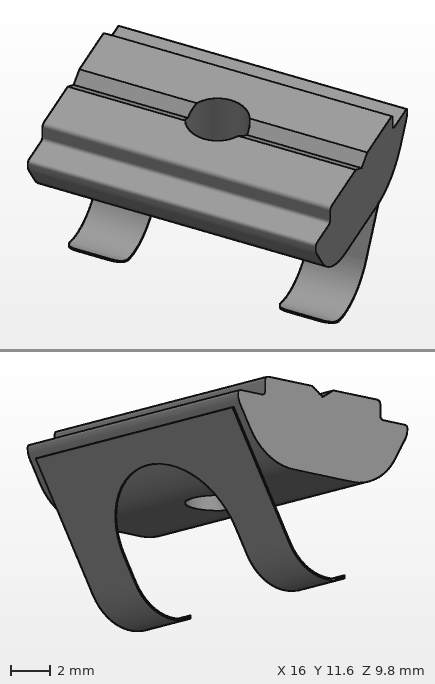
import cadquery as cq
import math

length = 16.0
width = 11.6
body_height = 4.58
neck_width = 7.9
step_height = 1.0
neck_top_radius = 0.24
neck_root_radius = 0.2
lip_radius = 0.2
lip_wall = 0.5
flank_radius = 1.12
bottom_radius = 3.42
flank_angle = math.radians(59)
groove_width = 1.47
groove_depth = 0.46
hole_diameter = 3.3

overall_height = 9.8
spring_thickness = 0.1
spring_width = 14.95
spring_start_z = -1.8
curl_radius = 3.02
tip_angle = math.radians(33)
tip_corner_radius = 0.78
window_width = 8.48
window_spring_z = -6.96

half_width = width / 2
flank_top_z = -step_height - lip_wall


def flank_y(z):
    """Y of the +Y flank plane at height z."""
    return half_width - (flank_top_z - z) / math.tan(flank_angle)


def section_plane():
    """YZ section plane at the -X end of the body."""
    return cq.Workplane("YZ", origin=(-length / 2, 0, 0))


def round_edges(body, y, z, radius):
    """Round the pair of lengthwise edges at +/-y and height z."""
    for side in (-1, 1):
        body = body.edges(cq.selectors.NearestToPointSelector((0, side * y, z))).fillet(radius)
    return body


def make_body():
    neck_y = neck_width / 2
    bottom_y = flank_y(-body_height)
    half_outline = [
        (0, -groove_depth),
        (groove_width / 2, 0),
        (neck_y, 0),
        (neck_y, -step_height),
        (half_width, -step_height),
        (half_width, flank_top_z),
        (bottom_y, -body_height),
    ]
    mirrored = [(-y, z) for y, z in reversed(half_outline[1:])]
    body = section_plane().polyline(half_outline + mirrored).close().extrude(length)
    body = round_edges(body, bottom_y, -body_height, bottom_radius)
    body = round_edges(body, half_width, flank_top_z, flank_radius)
    body = round_edges(body, half_width, -step_height, lip_radius)
    body = round_edges(body, neck_y, -step_height, neck_root_radius)
    body = round_edges(body, neck_y, 0, neck_top_radius)
    hole = cq.Workplane("XY").circle(hole_diameter / 2).extrude(-body_height)
    return body.cut(hole)


def make_spring():
    inner_radius = curl_radius - spring_thickness
    center_z = curl_radius - overall_height
    tangent_z = center_z - inner_radius * math.cos(flank_angle)
    center_y = flank_y(tangent_z) - inner_radius * math.sin(flank_angle)

    def on_curl(radius, angle):
        """Point on the curl; angle is measured from its lowest point toward +Y."""
        return center_y + radius * math.sin(angle), center_z - radius * math.cos(angle)

    start_inner = (flank_y(spring_start_z), spring_start_z)
    start_outer = (
        start_inner[0] + spring_thickness * math.sin(flank_angle),
        start_inner[1] - spring_thickness * math.cos(flank_angle),
    )
    spring = (
        cq.Workplane("YZ", origin=(-spring_width / 2, 0, 0))
        .moveTo(*start_outer)
        .lineTo(*on_curl(curl_radius, flank_angle))
        .threePointArc(on_curl(curl_radius, 0), on_curl(curl_radius, -tip_angle))
        .lineTo(*on_curl(inner_radius, -tip_angle))
        .threePointArc(on_curl(inner_radius, 0), on_curl(inner_radius, flank_angle))
        .lineTo(*start_inner)
        .close()
        .extrude(spring_width)
    )

    window_plane = cq.Plane(
        origin=(0, flank_y(window_spring_z), window_spring_z),
        xDir=(1, 0, 0),
        normal=(0, -math.sin(flank_angle), math.cos(flank_angle)),
    )
    window_radius = window_width / 2
    window = (
        cq.Workplane(window_plane)
        .moveTo(-window_radius, 0)
        .threePointArc((0, window_radius), (window_radius, 0))
        .lineTo(window_radius, -overall_height)
        .lineTo(-window_radius, -overall_height)
        .close()
        .extrude(overall_height, both=True)
    )
    spring = spring.cut(window)

    tip_y = on_curl(curl_radius, -tip_angle)[0]
    leg_width = (spring_width - window_width) / 2
    leg_x = (spring_width + window_width) / 4
    tip_zone = (
        cq.Workplane("XY", origin=(0, tip_y, -overall_height))
        .rect(spring_width, 2 * tip_corner_radius)
        .extrude(overall_height)
    )
    for side in (-1, 1):
        rounded_tip = (
            cq.Workplane("XY", origin=(side * leg_x, tip_y + leg_width / 2, -overall_height))
            .rect(leg_width, leg_width)
            .extrude(overall_height)
            .edges("|Z and <Y")
            .fillet(tip_corner_radius)
        )
        tip_zone = tip_zone.cut(rounded_tip)
    return spring.cut(tip_zone)


result = make_body().union(make_spring())